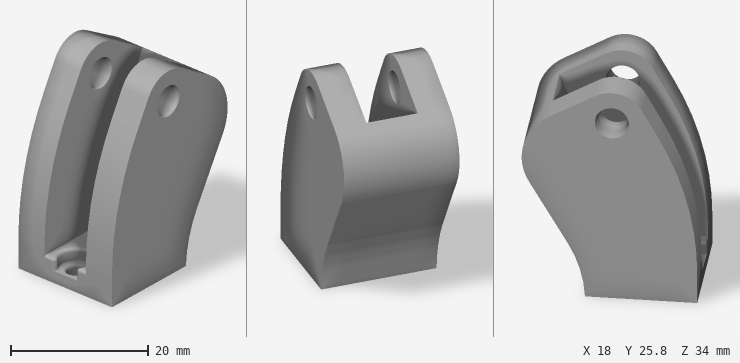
import cadquery as cq
import math

width = 18.0
total_height = 34.05
base_depth = 16.48
back_limit = 25.78

lean = math.radians(30)
nose_radius = 5.0
nose_y = 12.53
nose_z = total_height - nose_radius
front_straight = 5.0
front_arc_radius = 45.45
shoulder_radius = 8.0
shoulder_y = back_limit - shoulder_radius
back_arc_top = 8.68

pivot_diameter = 5.0

channel_width = 8.0
channel_floor = 4.0
channel_depth = 16.5
channel_straight_top = 9.0
channel_arc_radius = 38.0
channel_lean = math.radians(22)

screw_diameter = 3.0
bore_diameter = 5.5
bore_floor = 2.0
front_screw_y = 2.503
rear_screw_y = nose_y
edge_radius = 0.5
seat_block_depth = 7.5

cut_margin = 3.4


def on_circle(y, z, radius, angle):
    """Point on a circle, with the angle measured from +Y towards +Z."""
    return (y + radius * math.cos(angle), z + radius * math.sin(angle))


def extrude_across(outline, breadth):
    """Extrude a YZ outline symmetrically about X = 0."""
    return outline.close().extrude(breadth / 2, both=True)


def make_body():
    rise = nose_z - front_straight
    setback = front_arc_radius - nose_y
    front_lean = math.atan2(rise, setback) - math.acos(
        (front_arc_radius - nose_radius) / math.hypot(rise, setback)
    )

    def on_front_arc(angle):
        return on_circle(front_arc_radius, front_straight, front_arc_radius, math.pi - angle)

    nose_start = on_circle(nose_y, nose_z, nose_radius, math.pi - front_lean)
    nose_top = (nose_y, total_height)
    nose_end = on_circle(nose_y, nose_z, nose_radius, math.pi / 2 - lean)

    shoulder_start_y = shoulder_y + shoulder_radius * math.sin(lean)
    shoulder_start_z = nose_end[1] - (shoulder_start_y - nose_end[0]) * math.tan(lean)
    shoulder_z = shoulder_start_z - shoulder_radius * math.cos(lean)
    shoulder_end = on_circle(shoulder_y, shoulder_z, shoulder_radius, -lean)
    back_arc_y = shoulder_end[0] - (shoulder_end[1] - back_arc_top) * math.tan(lean)

    outline = (
        cq.Workplane("YZ")
        .lineTo(0, front_straight)
        .threePointArc(on_front_arc(front_lean / 2), on_front_arc(front_lean))
        .lineTo(*nose_start)
        .threePointArc(nose_top, nose_end)
        .lineTo(shoulder_start_y, shoulder_start_z)
        .threePointArc((back_limit, shoulder_z), shoulder_end)
        .lineTo(back_arc_y, back_arc_top)
        .tangentArcPoint((base_depth, 0), relative=False)
    )
    return extrude_across(outline, width)


def make_channel():
    arc_center_y = channel_depth + channel_arc_radius

    def on_back_arc(angle):
        return on_circle(arc_center_y, channel_straight_top, channel_arc_radius, math.pi - angle)

    arc_end = on_back_arc(channel_lean)
    top_z = total_height + cut_margin
    top_y = arc_end[0] + (top_z - arc_end[1]) * math.tan(channel_lean)
    outline = (
        cq.Workplane("YZ")
        .moveTo(-cut_margin, channel_floor)
        .lineTo(channel_depth, channel_floor)
        .lineTo(channel_depth, channel_straight_top)
        .threePointArc(on_back_arc(channel_lean / 2), arc_end)
        .lineTo(top_y, top_z)
        .lineTo(-cut_margin, top_z)
    )
    return extrude_across(outline, channel_width)


def make_pivot():
    outline = cq.Workplane("YZ").center(nose_y, nose_z).circle(pivot_diameter / 2)
    return outline.extrude(width, both=True)


def make_screw_hole(y):
    """Through hole with a flat-bottomed counterbore up to the channel floor."""
    shank = cq.Workplane("XY").center(0, y).circle(screw_diameter / 2).extrude(channel_floor)
    bore = (
        cq.Workplane("XY", origin=(0, y, bore_floor))
        .circle(bore_diameter / 2)
        .extrude(channel_floor - bore_floor)
    )
    return shank.union(bore)


def make_seat_block():
    """Front piece of the channel floor, with its screw seat and rounded edges."""
    block = make_seat_space().cut(make_screw_hole(front_screw_y))
    opening = block.faces("<Y").edges("|Z").edges(
        cq.selectors.BoxSelector(
            (-bore_diameter / 2, -edge_radius, bore_floor),
            (bore_diameter / 2, edge_radius, channel_floor),
        )
    )
    block = opening.fillet(edge_radius)
    rim = block.faces(">Z").edges("not(<X or >X or >Y)")
    block = rim.fillet(edge_radius)
    mouth_reach = screw_diameter / 2 + edge_radius
    mouth = block.edges(
        cq.selectors.BoxSelector(
            (-mouth_reach, front_screw_y - mouth_reach, bore_floor - edge_radius / 2),
            (mouth_reach, front_screw_y + mouth_reach, bore_floor + edge_radius / 2),
            boundingbox=True,
        )
    )
    return mouth.fillet(edge_radius)


def make_seat_space():
    """Room in the body that the seat block fills."""
    return cq.Workplane("XY").box(
        channel_width, seat_block_depth, channel_floor, centered=(True, False, False)
    )


result = make_body().cut(make_channel()).cut(make_pivot())
result = result.cut(make_screw_hole(rear_screw_y))
result = result.cut(make_seat_space()).union(make_seat_block())